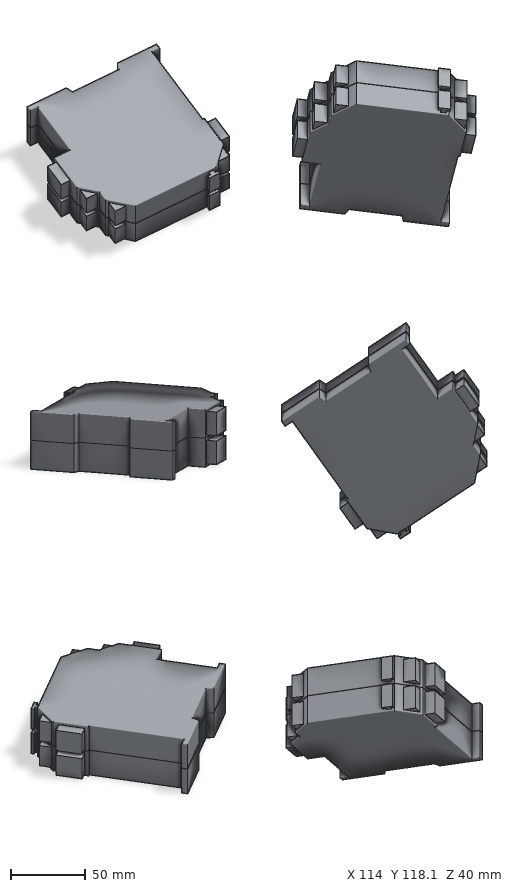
import cadquery as cq

module_count = 2
module_height = 20.0
edge_radius = 0.5

foot_thickness = 4.2
rail_notch_depth = 5.1
front_face = 109.6
corner_cut = 14.8
corner_start = front_face - corner_cut
upper_step = 70.1
lower_step = 46.1
lower_cut_start = 75.9

foot_reach = 51.0
rail_mouth = 20.1
rail_floor = 18.2
body_reach = 45.1
shoulder_reach = 46.4
lower_shoulder_reach = 57.5
front_face_reach = shoulder_reach - corner_cut
lower_cut = lower_shoulder_reach - shoulder_reach

plug_height = 16.3
plug_length = 18.0
plug_projection = 7.1
plug_overlap = 1.2
upper_plug_start = 72.9
lower_plug_start = 49.0
corner_plug_inset = 1.4
corner_plug_size = 8.6

knob_center = 28.0
knob_stem_width = 3.9
knob_plate_width = 8.1
knob_plate_thickness = 2.2
knob_front = 114.0


def block(x_min, x_max, y_min, y_max):
    """Rectangular block of plug height, centred on the middle of the module."""
    return cq.Workplane("XY").box(
        x_max - x_min, y_max - y_min, plug_height, centered=(False, False, True)
    ).translate((x_min, y_min, module_height / 2))


def housing():
    outline = [
        (0, foot_reach),
        (foot_thickness, foot_reach),
        (foot_thickness, body_reach),
        (upper_step, body_reach),
        (upper_step, shoulder_reach),
        (corner_start, shoulder_reach),
        (front_face, front_face_reach),
        (front_face, -front_face_reach),
        (corner_start, -shoulder_reach),
        (lower_cut_start + lower_cut, -shoulder_reach),
        (lower_cut_start, -lower_shoulder_reach),
        (lower_step, -lower_shoulder_reach),
        (lower_step, -body_reach),
        (foot_thickness, -body_reach),
        (foot_thickness, -foot_reach),
        (0, -foot_reach),
        (0, -rail_mouth),
        (rail_notch_depth, -rail_floor),
        (rail_notch_depth, rail_floor),
        (0, rail_mouth),
    ]
    body = cq.Workplane("XY").polyline(outline).close().extrude(module_height)
    return body.faces("|Z").edges().fillet(edge_radius)


def side_plug(start, shoulder, side):
    """Plug standing out from a shoulder on the +Y (side = 1) or -Y (side = -1) flank."""
    y_limits = sorted([side * (shoulder - plug_overlap), side * (shoulder + plug_projection)])
    return block(start, start + plug_length, *y_limits)


def corner_plug(cut_start, shoulder, side):
    """Square plug set into a 45 degree corner cut that begins at cut_start on a shoulder."""
    x_min = cut_start + corner_plug_inset
    outer = shoulder - corner_plug_inset
    y_limits = sorted([side * outer, side * (outer - corner_plug_size)])
    return block(x_min, x_min + corner_plug_size, *y_limits)


def knob():
    plate_back = knob_front - knob_plate_thickness
    stem = block(
        front_face - plug_overlap, plate_back,
        knob_center - knob_stem_width / 2, knob_center + knob_stem_width / 2,
    )
    plate = block(
        plate_back, knob_front,
        knob_center - knob_plate_width / 2, knob_center + knob_plate_width / 2,
    )
    return stem.union(plate)


def module():
    body = housing()
    body = body.union(side_plug(upper_plug_start, shoulder_reach, 1))
    body = body.union(side_plug(lower_plug_start, lower_shoulder_reach, -1))
    body = body.union(corner_plug(corner_start, shoulder_reach, 1))
    body = body.union(corner_plug(corner_start, shoulder_reach, -1))
    body = body.union(corner_plug(lower_cut_start, lower_shoulder_reach, -1))
    return body.union(knob())


single_module = module()
result = single_module
for level in range(1, module_count):
    result = result.union(single_module.translate((0, 0, level * module_height)))